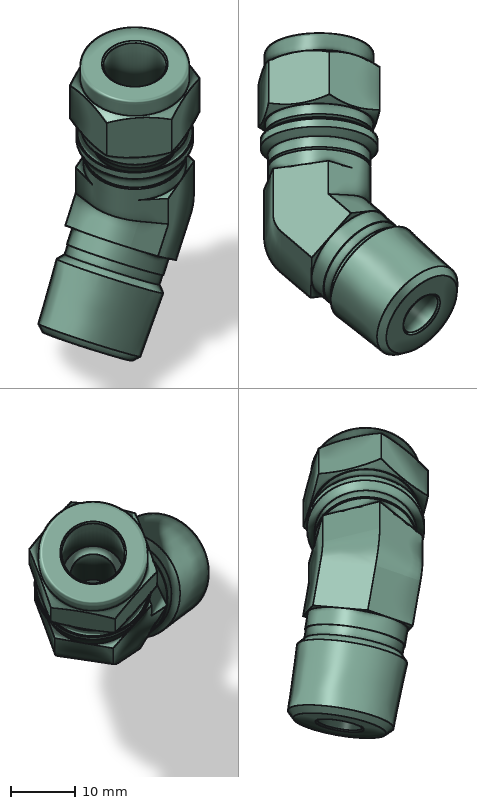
import cadquery as cq
import math


top_z = 29.35
collar_radius = 17.0 / 2
collar_rounding = 0.6
nut_across_flats = 17.55
nut_top_z = top_z - 3.05
nut_bottom_z = top_z - 12.0
nut_chamfer_angle = 30

ring_radius = 16.8 / 2
ring_chamfer = 0.35
ring_bottom_z = top_z - 14.1
neck_radius = 14.3 / 2
neck_bottom_z = top_z - 15.7
undercut_radius = 13.05 / 2
flange_radius = 18.25 / 2
flange_rim_width = 0.2
flange_top_z = top_z - 14.8
flange_bottom_z = top_z - 16.15
groove_top_z = top_z - 19.1
groove_bottom_z = top_z - 19.5
groove_depth = 0.35

body_across_flats = 16.0
body_radius = body_across_flats / 2
body_top_z = top_z - 21.85
bend_angle = 45
branch_body_length = 7.2

shoulder_radius = 15.8 / 2
shoulder_end = 9.95
relief_radius = 15.5 / 2
relief_end = 11.55
thread_start = 12.65
thread_start_radius = 8.7
thread_end = 23.1
thread_end_radius = 8.35
end_chamfer = 1.05

tube_radius = 9.75 / 2
tube_floor_z = nut_bottom_z
bore_radius = 7.1 / 2
bore_floor_z = 4.15
bore_chamfer = 0.25


def turned(profile):
    """Revolve a chain of (radius, height) points about the Z axis."""
    axis_bottom = (0, profile[0][1])
    axis_top = (0, profile[-1][1])
    outline = cq.Workplane("XZ").polyline([axis_bottom, *profile, axis_top]).close()
    return outline.revolve(360, (0, 0), (0, 1))


def along_branch(shape):
    """Turn a shape built upward on Z so that it points along the threaded end."""
    return shape.rotate((0, 0, 0), (1, 0, 0), 180 - bend_angle)


def make_nut():
    height = nut_top_z - nut_bottom_z
    corner_radius = nut_across_flats / 2 / math.cos(math.pi / 6)
    chamfer_drop = (corner_radius - collar_radius) * math.tan(math.radians(nut_chamfer_angle))
    hexagon = (
        cq.Workplane("XY", origin=(0, 0, nut_bottom_z))
        .polygon(6, 2 * corner_radius)
        .extrude(height)
        .rotate((0, 0, 0), (0, 0, 1), 30)
    )
    chamfer_envelope = turned([
        (collar_radius, nut_bottom_z),
        (corner_radius, nut_bottom_z + chamfer_drop),
        (corner_radius, nut_top_z - chamfer_drop),
        (collar_radius, nut_top_z),
    ])
    collar = (
        cq.Workplane("XY", origin=(0, 0, nut_top_z))
        .circle(collar_radius)
        .extrude(top_z - nut_top_z)
        .faces(">Z").edges().fillet(collar_rounding)
    )
    return hexagon.intersect(chamfer_envelope).union(collar)


def make_rings():
    cone_bottom_z = flange_bottom_z - (flange_radius - body_radius)
    recess_radius = flange_radius - flange_rim_width
    recess_bottom_z = flange_top_z - (recess_radius - undercut_radius)
    return turned([
        (body_radius, body_top_z),
        (body_radius, groove_bottom_z),
        (body_radius - groove_depth, groove_bottom_z),
        (body_radius, groove_top_z),
        (body_radius, cone_bottom_z),
        (flange_radius, flange_bottom_z),
        (flange_radius, flange_top_z),
        (recess_radius, flange_top_z),
        (undercut_radius, recess_bottom_z),
        (undercut_radius, neck_bottom_z),
        (neck_radius, neck_bottom_z),
        (neck_radius, ring_bottom_z),
        (ring_radius - ring_chamfer, ring_bottom_z),
        (ring_radius, ring_bottom_z + ring_chamfer),
        (ring_radius, nut_bottom_z),
    ])


def body_leg(length, inner_side):
    """Hexagonal leg up Z, its corner on the inside of the bend rounded to the inscribed circle."""
    corner = body_radius / math.cos(math.pi / 6)
    tangent_x = body_radius / 2
    tangent_y = inner_side * body_radius * math.cos(math.pi / 6)
    outline = (
        cq.Workplane("XY")
        .moveTo(-tangent_x, tangent_y)
        .threePointArc((0, inner_side * body_radius), (tangent_x, tangent_y))
        .lineTo(body_radius, inner_side * corner / 2)
        .lineTo(body_radius, -inner_side * corner / 2)
        .lineTo(0, -inner_side * corner)
        .lineTo(-body_radius, -inner_side * corner / 2)
        .lineTo(-body_radius, inner_side * corner / 2)
        .close()
    )
    return outline.extrude(length)


def mitred_leg(length, inner_side):
    """Body leg extended below the elbow centre on the inside and cut on the mitre plane."""
    reach = 2 * body_across_flats
    mitre_rise = reach * math.tan(math.radians(bend_angle / 2))
    leg = body_leg(length, inner_side)
    keep = (
        cq.Workplane("YZ")
        .polyline([
            (-inner_side * reach, 0),
            (0, 0),
            (inner_side * reach, mitre_rise),
            (inner_side * reach, reach),
            (-inner_side * reach, reach),
        ])
        .close()
        .extrude(reach, both=True)
    )
    return leg.intersect(keep)


def make_elbow():
    corner = body_radius / math.cos(math.pi / 6)
    outer_bend = (
        cq.Workplane("XY")
        .polyline([
            (-body_radius, 0),
            (body_radius, 0),
            (body_radius, corner / 2),
            (0, corner),
            (-body_radius, corner / 2),
        ])
        .close()
        .revolve(bend_angle, (0, 0), (-1, 0))
    )
    upper_leg = mitred_leg(body_top_z, -1)
    lower_leg = along_branch(mitred_leg(branch_body_length, 1))
    return upper_leg.union(lower_leg).union(outer_bend)


def make_threaded_end():
    return along_branch(turned([
        (shoulder_radius, branch_body_length),
        (shoulder_radius, shoulder_end),
        (relief_radius, shoulder_end),
        (relief_radius, relief_end),
        (thread_start_radius, thread_start),
        (thread_end_radius, thread_end),
        (thread_end_radius - end_chamfer, thread_end + end_chamfer),
    ]))


def make_tube_bore():
    return turned([
        (bore_radius, bore_floor_z),
        (bore_radius, tube_floor_z),
        (tube_radius, tube_floor_z),
        (tube_radius, top_z - bore_chamfer),
        (tube_radius + bore_chamfer, top_z),
    ])


def make_branch_bore():
    branch_length = thread_end + end_chamfer
    return along_branch(turned([
        (bore_radius, 0),
        (bore_radius, branch_length - bore_chamfer),
        (bore_radius + bore_chamfer, branch_length),
    ]))


fitting = make_nut().union(make_rings()).union(make_elbow()).union(make_threaded_end())
result = fitting.cut(make_tube_bore()).cut(make_branch_bore())